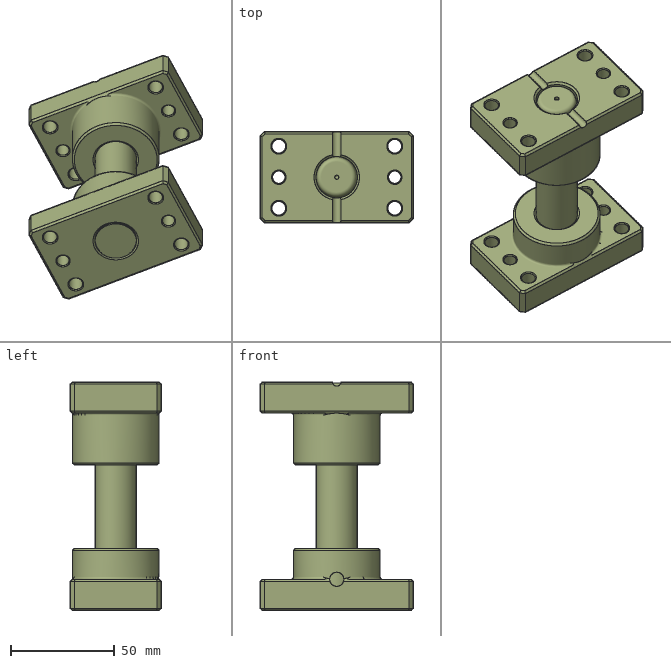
import cadquery as cq

total_height = 110.3
plate_length = 74.0
plate_width = 44.0
plate_thickness = 15.0
plate_corner_chamfer = 2.0
edge_chamfer = 1.0
hub_diameter = plate_width - 2 * edge_chamfer
hub_root_fillet = edge_chamfer
lower_hub_height = 15.0
upper_hub_height = 25.0

shaft_diameter = 20.0
shaft_top_gap = 0.3
lead_in_diameter = 18.0
lead_in_length = 4.4
shaft_top_fillet = 2.0
centre_hole_diameter = 2.0
centre_hole_depth = 1.8

hole_column_x = 28.0
hole_row_y = 15.0
screw_hole_diameter = 6.6
dowel_hole_diameter = 6.0
hole_countersink = 0.5

vent_groove_diameter = 4.0
clamp_hole_diameter = 6.8


def cylinder(diameter, height, base_z):
    """Upright cylinder on the Z axis."""
    return cq.Workplane("XY").workplane(offset=base_z).circle(diameter / 2).extrude(height)


def plate_blank():
    """Rectangular plate with its base at Z = 0 and all its edges chamfered."""
    return (
        cq.Workplane("XY")
        .box(plate_length, plate_width, plate_thickness, centered=(True, True, False))
        .edges("|Z").chamfer(plate_corner_chamfer)
        .faces("<Z or >Z").edges().chamfer(edge_chamfer)
    )


def hub_root():
    """Concave fillet ring at the foot of the hub, trimmed by the planes of the plate's long chamfers."""
    hub_radius = hub_diameter / 2
    foot_radius = hub_radius + hub_root_fillet
    fillet_top = plate_thickness + hub_root_fillet
    mid_offset = hub_root_fillet * (1 - 0.5 ** 0.5)
    ring = (
        cq.Workplane("XZ")
        .moveTo(hub_radius - edge_chamfer, plate_thickness)
        .lineTo(foot_radius, plate_thickness)
        .threePointArc((hub_radius + mid_offset, plate_thickness + mid_offset), (hub_radius, fillet_top))
        .lineTo(hub_radius - edge_chamfer, fillet_top)
        .close()
        .revolve(360, (0, 0, 0), (0, 1, 0))
    )
    base_y = plate_width / 2 - edge_chamfer
    top_y = base_y - hub_root_fillet
    trim = (
        cq.Workplane("YZ")
        .polyline([
            (-base_y, plate_thickness),
            (base_y, plate_thickness),
            (top_y, fillet_top),
            (-top_y, fillet_top),
        ])
        .close()
        .extrude(plate_length / 2, both=True)
    )
    return ring.intersect(trim)


def chamfered_hole(diameter, length, chamfer):
    """Through hole cutter from Z = 0 upward, widened by a 45 degree chamfer at both mouths."""
    radius = diameter / 2
    profile = [
        (0, 0),
        (radius + chamfer, 0),
        (radius, chamfer),
        (radius, length - chamfer),
        (radius + chamfer, length),
        (0, length),
    ]
    return cq.Workplane("XZ").polyline(profile).close().revolve(360, (0, 0, 0), (0, 1, 0))


def mounting_hole(diameter):
    """Plate hole cutter, countersunk at both plate faces."""
    return chamfered_hole(diameter, plate_thickness, hole_countersink)


def bored_flange(hub_height):
    """Plate with a hub on its upper face, a shaft bore and two columns of mounting holes."""
    height = plate_thickness + hub_height
    hub = cylinder(hub_diameter, hub_height, plate_thickness).faces(">Z").edges().chamfer(edge_chamfer)
    flange = plate_blank().union(hub).union(hub_root())
    flange = flange.cut(chamfered_hole(shaft_diameter, height, edge_chamfer))
    for x in (-hole_column_x, hole_column_x):
        flange = flange.cut(mounting_hole(dowel_hole_diameter).translate((x, 0, 0)))
        for y in (-hole_row_y, hole_row_y):
            flange = flange.cut(mounting_hole(screw_hole_diameter).translate((x, y, 0)))
    return flange


def make_lower_flange():
    """Hub-up flange with a radial clamp hole from the front, centred on the plate's upper face."""
    clamp_hole = (
        cq.Workplane("XZ")
        .center(0, plate_thickness)
        .circle(clamp_hole_diameter / 2)
        .extrude(plate_width / 2)
    )
    return bored_flange(lower_hub_height).cut(clamp_hole)


def make_upper_flange():
    """Hub-down flange with a round vent groove across its top face."""
    flange = bored_flange(upper_hub_height).rotate((0, 0, 0), (1, 0, 0), 180).translate((0, 0, total_height))
    groove_radius = vent_groove_diameter / 2
    vent_groove = (
        cq.Workplane("XZ")
        .center(0, total_height)
        .moveTo(-groove_radius, 0)
        .threePointArc((0, -groove_radius), (groove_radius, 0))
        .close()
        .extrude(plate_width / 2, both=True)
    )
    return flange.cut(vent_groove)


def centre_hole():
    """Drilled hole cutter with a 45 degree conical tip, mouth at Z = 0."""
    radius = centre_hole_diameter / 2
    profile = [(0, 0), (radius, 0), (radius, -centre_hole_depth), (0, -centre_hole_depth - radius)]
    return cq.Workplane("XZ").polyline(profile).close().revolve(360, (0, 0, 0), (0, 1, 0))


def make_shaft():
    """Shaft with a tapered lead-in and rounded rim at its top end, and a drilled centre hole."""
    length = total_height - shaft_top_gap
    profile = [
        (0, 0),
        (shaft_diameter / 2, 0),
        (shaft_diameter / 2, length - lead_in_length),
        (lead_in_diameter / 2, length),
        (0, length),
    ]
    shaft = cq.Workplane("XZ").polyline(profile).close().revolve(360, (0, 0, 0), (0, 1, 0))
    shaft = shaft.faces(">Z").edges().fillet(shaft_top_fillet)
    return shaft.cut(centre_hole().translate((0, 0, length)))


lower_flange = make_lower_flange()
upper_flange = make_upper_flange()
shaft = make_shaft()

result = cq.Compound.makeCompound([
    *lower_flange.solids().vals(),
    *upper_flange.solids().vals(),
    *shaft.solids().vals(),
])